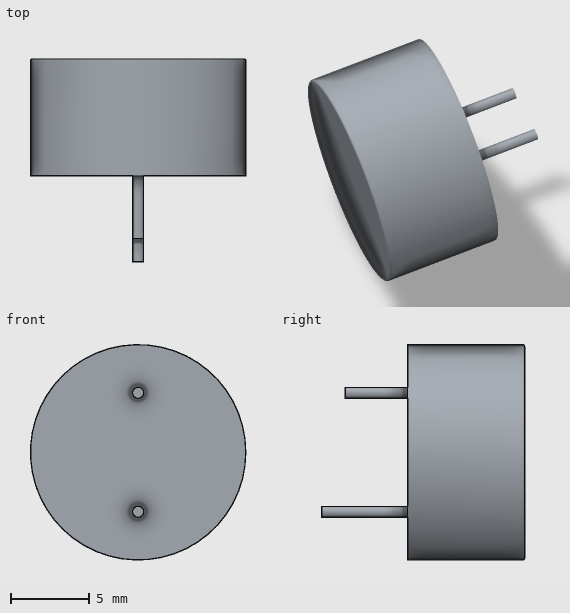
import cadquery as cq

body_diameter = 13.8
body_depth = 7.5
rim_fillet = 0.14

pin_diameter = 0.7
pin_spacing = 7.62
upper_pin_length = 4.0
lower_pin_length = 5.5
pin_embed = 0.14


def make_body():
    """Cylinder with a rounded rim on the face away from the pins."""
    body = cq.Workplane("XZ").circle(body_diameter / 2).extrude(-body_depth)
    return body.faces(">Y").edges().fillet(rim_fillet)


def make_pin(height, length):
    """Pin at the given Z height, reaching the given length past the body."""
    return (
        cq.Workplane("XZ", origin=(0, pin_embed, 0))
        .center(0, height)
        .circle(pin_diameter / 2)
        .extrude(length + pin_embed)
    )


upper_pin = make_pin(pin_spacing / 2, upper_pin_length)
lower_pin = make_pin(-pin_spacing / 2, lower_pin_length)
result = make_body().union(upper_pin).union(lower_pin)